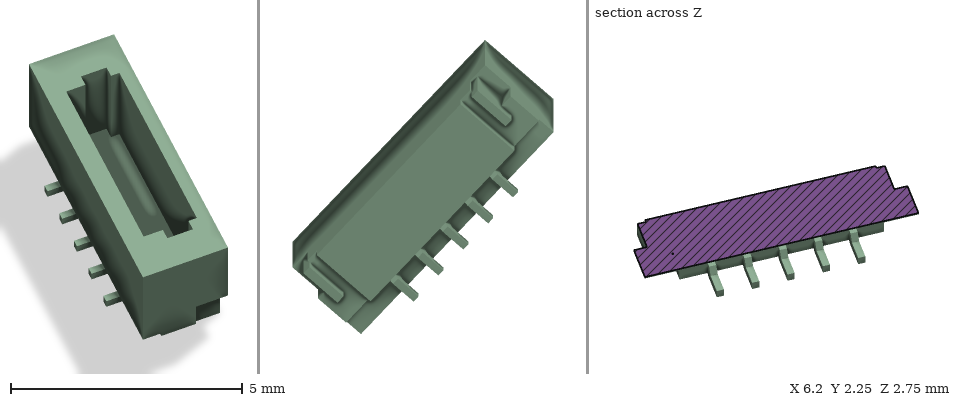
import cadquery as cq


length = 6.2
depth = 2.0
top_z = 2.75
housing_bottom_z = 0.355
lip_bottom_z = 0.45
plinth_length = 4.625
plinth_bottom_z = 0.05
plinth_front_y = 0.435

cavity_length = 4.215
cavity_back_wall = 0.305
cavity_front_wall = 0.445
cavity_floor_z = 0.495
key_length = 4.7
key_front_y = 0.9
key_back_y = 1.5

notch_top_z = 0.985
notch_depth = 0.75
tab_thickness = 0.19
tab_inset = 0.3
tab_back_gap = 0.055
tab_foot_depth = 0.99

lead_count = 5
lead_pitch = 0.8
lead_width = 0.16
lead_reach = 0.25
lead_root_top_z = 0.39
lead_foot_height = 0.205
lead_shoulder = 0.12
lead_bend_end = 0.23
lead_heel = 0.08
lead_heel_z = 0.055
lead_embed = 0.125


def block(x_range, y_range, z_range):
    """Axis-aligned box given by its limits along X, Y and Z."""
    sizes = [high - low for low, high in (x_range, y_range, z_range)]
    corner = (x_range[0], y_range[0], z_range[0])
    return cq.Workplane("XY").box(*sizes, centered=False).translate(corner)


def centred_block(x_length, y_range, z_range):
    """Box symmetric about the YZ plane."""
    return block((-x_length / 2, x_length / 2), y_range, z_range)


def make_housing():
    """Housing with a raised front lip, a plinth and a keyed cavity."""
    body = centred_block(length, (0, depth), (lip_bottom_z, top_z))
    base = centred_block(length, (plinth_front_y, depth), (housing_bottom_z, lip_bottom_z))
    plinth = centred_block(plinth_length, (plinth_front_y, depth), (plinth_bottom_z, lip_bottom_z))
    cavity_z = (cavity_floor_z, top_z)
    cavity = centred_block(cavity_length, (cavity_front_wall, depth - cavity_back_wall), cavity_z)
    key_slots = centred_block(key_length, (key_front_y, key_back_y), cavity_z)
    return body.union(base).union(plinth).cut(cavity).cut(key_slots)


def make_notch():
    """Space cut from the left rear lower corner."""
    inner_x = -length / 2 + tab_inset + tab_thickness
    return block((-length / 2, inner_x), (depth - notch_depth, depth), (housing_bottom_z, notch_top_z))


def make_tab():
    """Left L-shaped tab: an upright in the notch and a longer foot below it."""
    outer_x = -length / 2 + tab_inset
    tab_x = (outer_x, outer_x + tab_thickness)
    back_y = depth - tab_back_gap
    upright = block(tab_x, (depth - notch_depth, back_y), (0, notch_top_z))
    foot = block(tab_x, (back_y - tab_foot_depth, back_y), (0, housing_bottom_z))
    return upright.union(foot)


def make_lead(x):
    """Gull-wing lead emerging from the plinth front."""
    outline = [
        (plinth_front_y + lead_embed, lead_root_top_z),
        (plinth_front_y - lead_shoulder, lead_root_top_z),
        (plinth_front_y - lead_bend_end, lead_foot_height),
        (-lead_reach, lead_foot_height),
        (-lead_reach, 0),
        (plinth_front_y - lead_heel, 0),
        (plinth_front_y, lead_heel_z),
        (plinth_front_y + lead_embed, lead_heel_z),
    ]
    lead = cq.Workplane("YZ").polyline(outline).close().extrude(lead_width / 2, both=True)
    return lead.translate((x, 0, 0))


notch = make_notch()
tab = make_tab()
result = make_housing().cut(notch).cut(notch.mirror("YZ"))
result = result.union(tab).union(tab.mirror("YZ"))
for index in range(lead_count):
    result = result.union(make_lead((index - (lead_count - 1) / 2) * lead_pitch))